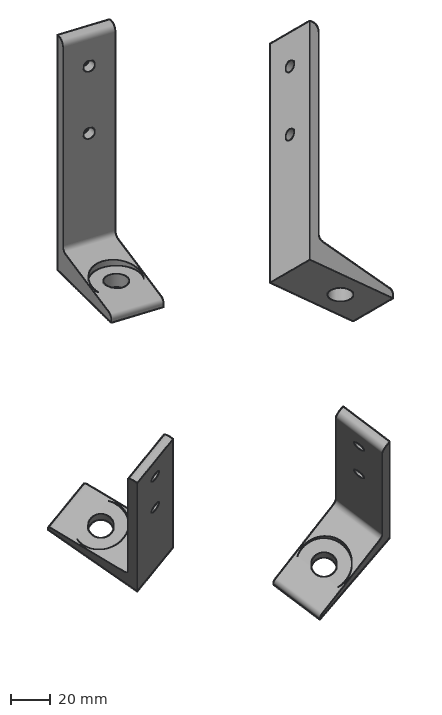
import cadquery as cq

LENGTH = 56.0
WIDTH = 30.0
HEIGHT = 140.0

PLATE_THICKNESS = 6.0
FOOT_HEIGHT_AT_PLATE = 14.6
FOOT_HEIGHT_AT_TIP = 4.6

TOP_EDGE_RADIUS = 4.0
INNER_CORNER_RADIUS = 3.5
TIP_EDGE_RADIUS = 3.0

PLATE_HOLE_DIAMETER = 6.5
PLATE_HOLE_HEIGHTS = (80.0, 120.0)

BOLT_HOLE_DIAMETER = 13.0
BOLT_HOLE_X = 34.0
SEAT_DIAMETER = 28.0
SEAT_HEIGHT = 8.0


def edge_across_width(body, x, z):
    """Select the edge parallel to Y that passes through (x, z)."""
    return body.edges("|Y").edges(cq.NearestToPointSelector((x, 0, z)))


def make_bracket_body():
    """L-shaped body, centred across its width, with rounded edges."""
    body = (
        cq.Workplane("XZ")
        .polyline([
            (0, 0),
            (LENGTH, 0),
            (LENGTH, FOOT_HEIGHT_AT_TIP),
            (PLATE_THICKNESS, FOOT_HEIGHT_AT_PLATE),
            (PLATE_THICKNESS, HEIGHT),
            (0, HEIGHT),
        ])
        .close()
        .extrude(WIDTH / 2, both=True)
    )
    body = edge_across_width(body, PLATE_THICKNESS, HEIGHT).fillet(TOP_EDGE_RADIUS)
    body = edge_across_width(body, PLATE_THICKNESS, FOOT_HEIGHT_AT_PLATE).fillet(INNER_CORNER_RADIUS)
    return edge_across_width(body, LENGTH, FOOT_HEIGHT_AT_TIP).fillet(TIP_EDGE_RADIUS)


def make_plate_holes():
    """Cylinders along X that cut the holes in the upright plate."""
    return (
        cq.Workplane("YZ")
        .pushPoints([(0, height) for height in PLATE_HOLE_HEIGHTS])
        .circle(PLATE_HOLE_DIAMETER / 2)
        .extrude(PLATE_THICKNESS)
    )


def make_foot_cylinder(diameter, bottom):
    """Vertical cylinder on the bolt axis, from the given height to the top of the foot."""
    return (
        cq.Workplane("XY", origin=(BOLT_HOLE_X, 0, bottom))
        .circle(diameter / 2)
        .extrude(FOOT_HEIGHT_AT_PLATE - bottom)
    )


result = (
    make_bracket_body()
    .cut(make_plate_holes())
    .cut(make_foot_cylinder(SEAT_DIAMETER, SEAT_HEIGHT))
    .cut(make_foot_cylinder(BOLT_HOLE_DIAMETER, 0))
)